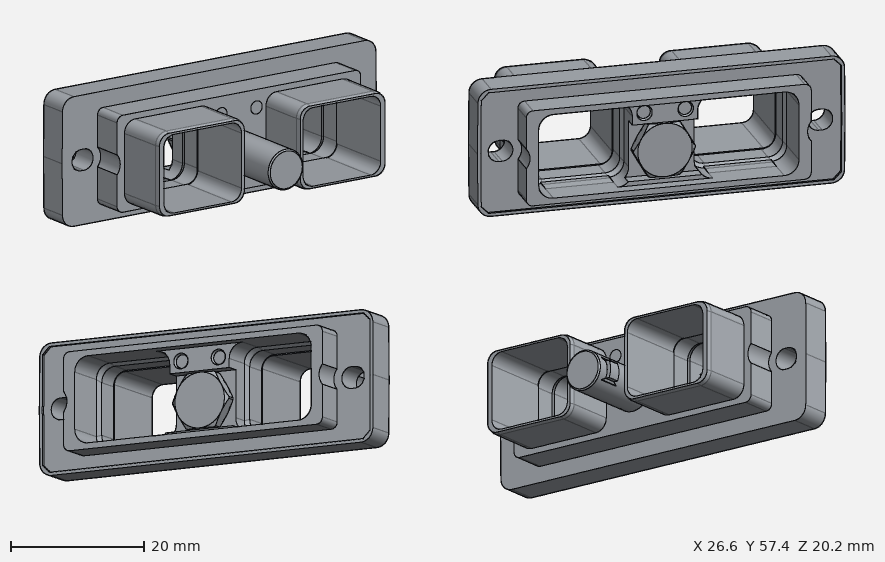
import cadquery as cq
import math


shell_depth = 14.2
shell_length = 44.5
shell_height = 15.15
shell_corner = 1.05
notch_depth = 0.6
notch_height = 3.1

flange_front = 4.1
flange_thick = 4.95
flange_length = 57.4
flange_height = 20.25
flange_corner = 2.05
flange_peak = 0.085
recess_margin = 0.5
recess_depth = 0.45
recess_corner = 1.15
slot_spacing = 49.95
slot_length = 3.85
slot_height = 3.35

cavity_side = 20.3
cavity_height = 13.3
cavity_corner = 2.3
bridge_front = 2.0
bridge_half_width = 5.1
port_length = cavity_side - bridge_half_width
port_y = (cavity_side + bridge_half_width) / 2
ramp_start = 4.3
ramp_end = 5.95
ramp_rise = 0.1
lead_start = 6.65
lead_end = 7.7
lead_inset_y = 0.35
lead_inset_z = 0.35
port_ledge_x = 11.3
port_ledge = 0.2
port_corner = 1.85

tube_back = 22.95
tube_inner_side = 4.95
tube_outer_root = 20.9
tube_outer_tip = 20.8
tube_height = 13.25
tube_corner = 1.95
tube_chamfer_length = 0.75
tube_chamfer_depth = 0.2

jack_z = -1.5
jack_back = 26.65
jack_radius = 3.15
jack_chamfer = 0.25
hex_flats = 8.5
hex_corner_radius = 4.8
hex_front = 2.05
hex_seat = 4.0
hex_bevel_angle = 30
hex_pocket_length = 2 * (bridge_half_width + cavity_corner)
hex_pocket_height = 8.95

key_start = 22.6
key_length = 2.05
key_height = 2.75
key_tip_radius = 3.8
key_base_side = 3.6
key_base_level = 2.65
key_base_rise = 0.25

pin_radius = 1.05
pin_spacing = 6.45
pin_z = 4.75
pin_recess = 0.45
pin_mouth_radius = 1.2


def yz_plane(x):
    """Plane across the part at x; its local axes are Y and Z and its normal is +X."""
    return cq.Workplane("YZ", origin=(x, 0, 0))


def rounded_block(x0, x1, length, height, corner, y=0.0):
    """Box along X with rounded corners in its YZ outline."""
    box = yz_plane(x0).center(y, 0).rect(length, height).extrude(x1 - x0)
    return box.edges("|X").fillet(corner)


def peaked_plate(x, thickness, half_length, half_height):
    """Plate whose two ends come to a slight peak at mid height."""
    shoulder = half_length - flange_peak
    outline = [
        (shoulder, half_height),
        (half_length, 0),
        (shoulder, -half_height),
        (-shoulder, -half_height),
        (-half_length, 0),
        (-shoulder, half_height),
    ]
    return yz_plane(x).polyline(outline).close().extrude(thickness)


def make_flange():
    half_length = flange_length / 2
    half_height = flange_height / 2
    plate = peaked_plate(flange_front, flange_thick, half_length, half_height)
    plate = plate.edges("|X and (>Z or <Z)").fillet(flange_corner)
    recess = peaked_plate(flange_front, recess_depth, half_length - recess_margin, half_height - recess_margin)
    recess = recess.edges("|X and (>Z or <Z)").chamfer(recess_corner)
    slots = (
        yz_plane(flange_front)
        .pushPoints([(-slot_spacing / 2, 0), (slot_spacing / 2, 0)])
        .slot2D(slot_length, slot_height)
        .extrude(flange_thick)
    )
    return plate.cut(recess).cut(slots)


def make_shell():
    """Solid shell block with a shallow round notch along each end."""
    shell = rounded_block(0, shell_depth, shell_length, shell_height, shell_corner)
    notch_radius = (notch_height**2 / 4 + notch_depth**2) / (2 * notch_depth)
    notch_y = shell_length / 2 - notch_depth + notch_radius
    notches = (
        yz_plane(0)
        .pushPoints([(-notch_y, 0), (notch_y, 0)])
        .circle(notch_radius)
        .extrude(shell_depth)
    )
    return shell.cut(notches)


def make_tube(side):
    """Outside of one rectangular tube; its outer side leans slightly inward towards the back."""
    outline = [
        (shell_depth, side * tube_inner_side),
        (tube_back, side * tube_inner_side),
        (tube_back, side * tube_outer_tip),
        (shell_depth, side * tube_outer_root),
    ]
    tube = (
        cq.Workplane("XY", origin=(0, 0, -tube_height / 2))
        .polyline(outline)
        .close()
        .extrude(tube_height)
    )
    tube = tube.edges("(>Z or <Z) and (not #X)").fillet(tube_corner)
    return tube.faces(">X").chamfer(tube_chamfer_length, tube_chamfer_depth)


def make_ramp(y):
    """Low pad on the port floor that rises gently and runs into the tapered lead-in."""
    floor = -cavity_height / 2
    pad_length = port_length - 2 * cavity_corner
    outline = [
        (ramp_start, floor),
        (ramp_end, floor + ramp_rise),
        (lead_end, floor + ramp_rise),
        (lead_end, floor),
    ]
    return (
        cq.Workplane("XZ", origin=(0, y, 0))
        .polyline(outline)
        .close()
        .extrude(pad_length / 2, both=True)
    )


def make_port(side):
    """Opening behind the bridge front: a floor ramp, a tapered lead-in, then a stepped hole."""
    y = side * port_y
    lead_length = port_length - 2 * lead_inset_y
    lead_height = cavity_height - 2 * lead_inset_z

    mouth = rounded_block(bridge_front, lead_start, port_length, cavity_height, cavity_corner, y)
    lead_in = (
        yz_plane(lead_start)
        .center(y, 0)
        .placeSketch(
            cq.Sketch().rect(port_length, cavity_height).vertices().fillet(cavity_corner),
            cq.Sketch()
            .rect(lead_length, lead_height)
            .vertices()
            .fillet(cavity_corner)
            .moved(cq.Location(cq.Vector(0, 0, lead_end - lead_start))),
        )
        .loft()
    )
    front_hole = rounded_block(lead_end, port_ledge_x, lead_length, lead_height, cavity_corner, y)
    back_hole = rounded_block(
        port_ledge_x,
        tube_back,
        lead_length - 2 * port_ledge,
        lead_height - 2 * port_ledge,
        port_corner,
        y,
    )
    return mouth.union(lead_in).union(front_hole).union(back_hole).cut(make_ramp(y))


def make_hex_pocket():
    """Slot across the bridge that holds the head of the jack."""
    return (
        yz_plane(bridge_front)
        .center(0, jack_z)
        .rect(hex_pocket_length, hex_pocket_height)
        .extrude(hex_seat - bridge_front)
    )


def make_housing():
    housing = make_shell().union(make_flange())
    for side in (-1, 1):
        housing = housing.union(make_tube(side))
    housing = housing.cut(rounded_block(0, bridge_front, 2 * cavity_side, cavity_height, cavity_corner))
    for side in (-1, 1):
        housing = housing.cut(make_port(side))
    housing = housing.cut(make_hex_pocket())
    bore = yz_plane(hex_seat).center(0, jack_z).circle(jack_radius).extrude(shell_depth - hex_seat)
    housing = housing.cut(bore)
    for side in (-1, 1):
        housing = housing.cut(make_pin_hole(side * pin_spacing / 2))
    return housing


def make_pin_hole(y):
    """Through hole for a pin with a countersunk mouth."""
    hole = yz_plane(bridge_front).center(y, pin_z).circle(pin_radius).extrude(shell_depth - bridge_front)
    mouth = (
        yz_plane(bridge_front)
        .center(y, pin_z)
        .circle(pin_mouth_radius)
        .workplane(offset=pin_recess)
        .circle(pin_radius)
        .loft()
    )
    return hole.union(mouth)


def make_pin(y):
    """Round pin seated just below the countersunk mouth, flush with the back of the shell."""
    start = bridge_front + pin_recess
    return yz_plane(start).center(y, pin_z).circle(pin_radius).extrude(shell_depth - start)


def make_hex_head():
    """Hexagonal head with rounded corners, bevelled to a round face at both ends."""
    bevel_width = hex_corner_radius - hex_flats / 2
    bevel_depth = bevel_width * math.tan(math.radians(hex_bevel_angle))
    start = yz_plane(hex_front).center(0, jack_z)
    head = start.polygon(6, 2 * hex_flats / math.sqrt(3)).extrude(hex_seat - hex_front)
    envelope = start.circle(hex_corner_radius).extrude(hex_seat - hex_front)
    envelope = envelope.faces("<X or >X").chamfer(bevel_depth, bevel_width)
    return head.intersect(envelope)


def make_key():
    """Rectangular key with a rounded tip, standing on a tapered base beside the jack."""
    middle = cq.Vector(key_start + key_length / 2, 0, jack_z)
    key = cq.Workplane("XY").box(key_length, key_tip_radius, key_height, centered=(True, False, True))
    key = key.translate(middle)
    tip = yz_plane(key_start).center(0, jack_z).circle(key_tip_radius).extrude(key_length)
    base = (
        cq.Workplane("XZ", origin=(middle.x, key_base_level, middle.z))
        .rect(key_base_side, key_base_side)
        .workplane(offset=-key_base_rise)
        .rect(key_length, key_height)
        .loft()
    )
    return key.intersect(tip).union(base)


def make_jack():
    barrel = yz_plane(hex_seat).center(0, jack_z).circle(jack_radius).extrude(jack_back - hex_seat)
    barrel = barrel.faces(">X").chamfer(jack_chamfer)
    return make_hex_head().union(barrel).union(make_key())


housing = make_housing()
jack = make_jack()
pins = [make_pin(side * pin_spacing / 2) for side in (-1, 1)]

result = cq.Compound.makeCompound([housing.val(), jack.val(), *[pin.val() for pin in pins]])